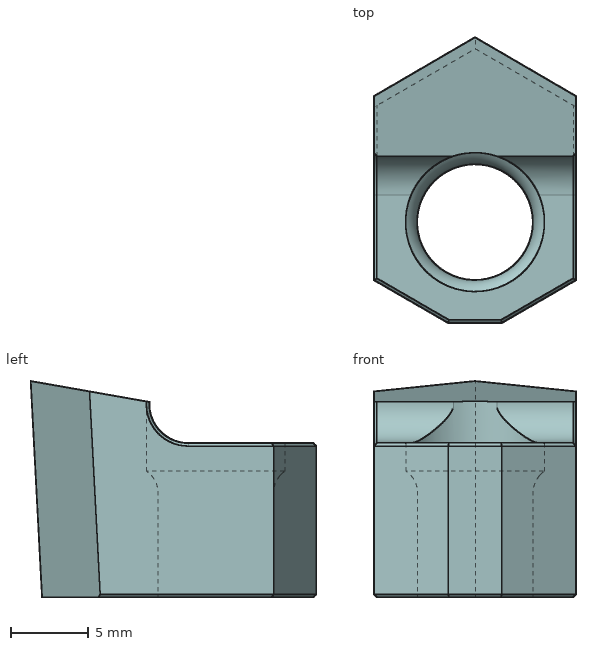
import cadquery as cq
import math

width = 13.1
length = 18.5
height = 14.0
front_y = -6.53
front_flat_width = 3.48
corner_angle = 30.0
rear_lean = 3.0
roof_slope = 10.0

step_height = 9.99
cove_radius = 2.5
cove_wall_y = 4.27
edge_chamfer = 0.2

bore_radius = 3.74
counterbore_radius = 4.5
counterbore_depth = 1.8
seat_radius = 1.74

half_width = width / 2
half_flat = front_flat_width / 2
tip_y = front_y + length
corner_slope = math.tan(math.radians(corner_angle))
rear_base_tip_y = tip_y - height * math.tan(math.radians(rear_lean))


def make_profile():
    """Extrude the side outline with its sloping roof and leaning rear."""
    roof_front_z = height - length * math.tan(math.radians(roof_slope))
    return (
        cq.Workplane("YZ")
        .polyline([
            (front_y, 0),
            (rear_base_tip_y, 0),
            (tip_y, height),
            (front_y, roof_front_z),
        ])
        .close()
        .extrude(half_width, both=True)
    )


def make_step_cutter():
    """Space above the step, ending in a round cove that runs across the part."""
    cove_center_y = cove_wall_y - cove_radius
    cove = (
        cq.Workplane("YZ")
        .center(cove_center_y, step_height + cove_radius)
        .circle(cove_radius)
        .extrude(half_width, both=True)
    )
    step = cq.Workplane("XY").box(
        width, cove_center_y - front_y, height - step_height, centered=(True, False, False)
    )
    return step.translate((0, front_y, step_height)).union(cove)


def make_front_plan():
    """Upright prism that trims the two front corners."""
    front_corner_y = front_y + (half_width - half_flat) * corner_slope
    return (
        cq.Workplane("XY")
        .polyline([
            (-half_flat, front_y),
            (half_flat, front_y),
            (half_width, front_corner_y),
            (half_width, tip_y),
            (-half_width, tip_y),
            (-half_width, front_corner_y),
        ])
        .close()
        .extrude(height)
    )


def make_rear_plan():
    """Pointed prism swept along the leaning rear ridge to trim the rear faces."""
    shoulder_drop = half_width * corner_slope
    outline = [
        (-half_width, front_y),
        (half_width, front_y),
        (half_width, rear_base_tip_y - shoulder_drop),
        (0, rear_base_tip_y),
        (-half_width, rear_base_tip_y - shoulder_drop),
    ]
    base = cq.Wire.makePolygon([cq.Vector(x, y, 0) for x, y in outline], close=True)
    lean_direction = cq.Vector(0, tip_y - rear_base_tip_y, height)
    front_fill = cq.Workplane("XY").box(width, -front_y, height, centered=(True, False, False))
    leaning = cq.Workplane(cq.Solid.extrudeLinear(base, [], lean_direction))
    return leaning.union(front_fill.translate((0, front_y, 0)))


def is_bevelled(edge):
    """True for the side and front edges of the base, step and cove."""
    tolerance = 0.002
    box = edge.BoundingBox()
    on_base = box.zmax < tolerance
    on_step = box.zmin > step_height - tolerance and box.ymax < cove_wall_y + tolerance
    on_side = box.xmax - box.xmin < tolerance and abs(abs(box.xmax) - half_width) < tolerance
    on_front = box.ymax < 0
    return (on_base or on_step) and (on_side or on_front)


def make_bore():
    """Revolve the bore, its rounded seat and the counterbore above it."""
    seat_top_z = step_height - counterbore_depth
    seat_center_radius = bore_radius + seat_radius
    seat_angle = math.acos((seat_center_radius - counterbore_radius) / seat_radius)
    seat_bottom_z = seat_top_z - seat_radius * math.sin(seat_angle)
    arc_middle = (
        seat_center_radius - seat_radius * math.cos(seat_angle / 2),
        seat_bottom_z + seat_radius * math.sin(seat_angle / 2),
    )
    return (
        cq.Workplane("XZ")
        .lineTo(bore_radius, 0)
        .lineTo(bore_radius, seat_bottom_z)
        .threePointArc(arc_middle, (counterbore_radius, seat_top_z))
        .lineTo(counterbore_radius, height)
        .lineTo(0, height)
        .close()
        .revolve(360, (0, 0, 0), (0, 1, 0))
    )


body = make_profile().intersect(make_front_plan()).intersect(make_rear_plan())
body = body.cut(make_step_cutter()).clean()
bevelled_edges = [edge for edge in body.edges().vals() if is_bevelled(edge)]
body = body.newObject(bevelled_edges).chamfer(edge_chamfer)
result = body.cut(make_bore())